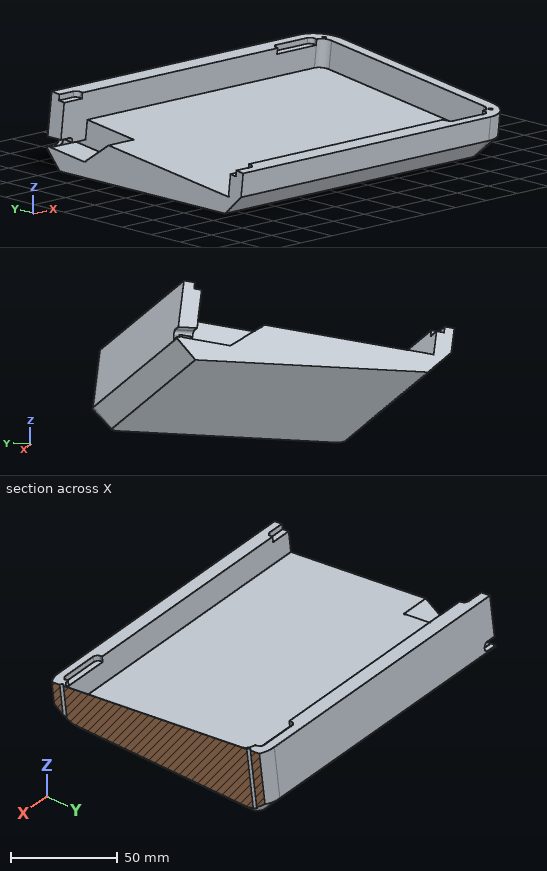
import cadquery as cq
import math

length = 174.7
overall_width = 134.5
overall_height = 38.0
tilt = 7.0
tray_width = 132.1
outer_corner_radius = 14.9

foot_height = 10.0
foot_length = 164.2
foot_front_y = -54.9
foot_back_y = 58.4
foot_corner_radius = 4.4

front_wall = 8.4
back_wall = 9.0
end_wall = 7.0
cavity_depth = 14.3
cavity_corner_radius = 4.9

pocket_depth = 3.0
pocket_reach = 3.7
pocket_corner_radius = 2.5
end_pocket_length = 11.5
far_pocket_start = 137.7
far_pocket_length = 25.2

pin_hole_diameter = 2.0

notch_length = 16.2
notch_depth = 27.3
notch_ramp_top = 91.0
notch_ramp_foot = 106.0
undercut_height = 3.0
undercut_skin = 2.8

port_bottom = 10.7
port_height = 4.7
port_end = 7.7
port_corner_radius = 2.1

tilt_angle = math.radians(tilt)
front_y = -overall_width / 2
front_rim_height = overall_height - tray_width * math.sin(tilt_angle)
rim = cq.Plane(
    origin=(0, front_y, front_rim_height),
    xDir=(1, 0, 0),
    normal=(0, -math.sin(tilt_angle), math.cos(tilt_angle)),
)

cavity_end = length - end_wall
cavity_back = tray_width - back_wall
cavity_width = cavity_back - front_wall
cavity_middle = (front_wall + cavity_back) / 2


def open_ended_outline(plane, end_x, low_y, high_y, radius):
    """Rectangle from x = 0 to end_x with only its two far corners rounded."""
    corner = radius * (1 - math.sqrt(0.5))
    return (
        cq.Workplane(plane)
        .moveTo(0, low_y)
        .lineTo(end_x - radius, low_y)
        .threePointArc((end_x - corner, low_y + corner), (end_x, low_y + radius))
        .lineTo(end_x, high_y - radius)
        .threePointArc((end_x - corner, high_y - corner), (end_x - radius, high_y))
        .lineTo(0, high_y)
        .close()
    )


def make_body():
    """Tilted block cut level at the foot, with a foot that tapers down to a smaller base."""
    tray_outline = open_ended_outline(rim, length, 0, tray_width, outer_corner_radius)
    block = tray_outline.extrude(-2 * overall_height)
    below_tray = (
        cq.Workplane(origin=(0, 0, foot_height))
        .rect(3 * length, 3 * overall_width)
        .extrude(-2 * overall_height)
    )
    tray = block.cut(below_tray)
    tray_underside = tray.faces("<Z").val().outerWire()
    base_outline = open_ended_outline(
        cq.Plane.XY(), foot_length, foot_front_y, foot_back_y, foot_corner_radius
    )
    foot = cq.Solid.makeLoft([base_outline.wires().val(), tray_underside], True)
    return tray.union(cq.Workplane(foot))


def make_cavity():
    outline = open_ended_outline(rim, cavity_end, front_wall, cavity_back, cavity_corner_radius)
    return outline.extrude(-cavity_depth)


def make_rim_pockets(start, end):
    """Facing pair of shallow pockets: one round-cornered block sunk into both long walls."""
    return (
        cq.Workplane(rim)
        .center((start + end) / 2, cavity_middle)
        .rect(end - start, cavity_width + 2 * pocket_reach)
        .extrude(-pocket_depth)
        .edges(cq.selectors.ParallelDirSelector(rim.zDir))
        .fillet(pocket_corner_radius)
    )


def make_pin_holes():
    """Holes square to the rim, centred where the cavity walls would meet if not rounded."""
    return (
        cq.Workplane(rim)
        .pushPoints([(cavity_end, front_wall), (cavity_end, cavity_back)])
        .circle(pin_hole_diameter / 2)
        .extrude(-overall_height)
    )


def make_cable_notch():
    """Ramped notch in the cavity floor that runs on as a low slot under the back wall."""
    profile_plane = cq.Plane(origin=rim.origin, xDir=rim.yDir, normal=rim.xDir)
    undercut_top = undercut_height - notch_depth
    undercut_end = tray_width - undercut_skin
    return (
        cq.Workplane(profile_plane)
        .moveTo(notch_ramp_top, -cavity_depth)
        .lineTo(notch_ramp_foot, -notch_depth)
        .lineTo(undercut_end, -notch_depth)
        .lineTo(undercut_end, undercut_top)
        .lineTo(cavity_back, undercut_top)
        .lineTo(cavity_back, -cavity_depth)
        .close()
        .extrude(notch_length)
    )


def make_cable_port():
    """Level round-cornered slot from the notch out through the back wall."""
    port_length = 2 * back_wall
    return (
        cq.Workplane("XZ", origin=(0, overall_width / 2, port_bottom + port_height / 2))
        .rect(2 * port_end, port_height)
        .extrude(port_length)
        .edges("|Y")
        .fillet(port_corner_radius)
    )


result = (
    make_body()
    .cut(make_cavity())
    .cut(make_rim_pockets(-end_pocket_length, end_pocket_length))
    .cut(make_rim_pockets(far_pocket_start, far_pocket_start + far_pocket_length))
    .cut(make_pin_holes())
    .cut(make_cable_notch())
    .cut(make_cable_port())
)